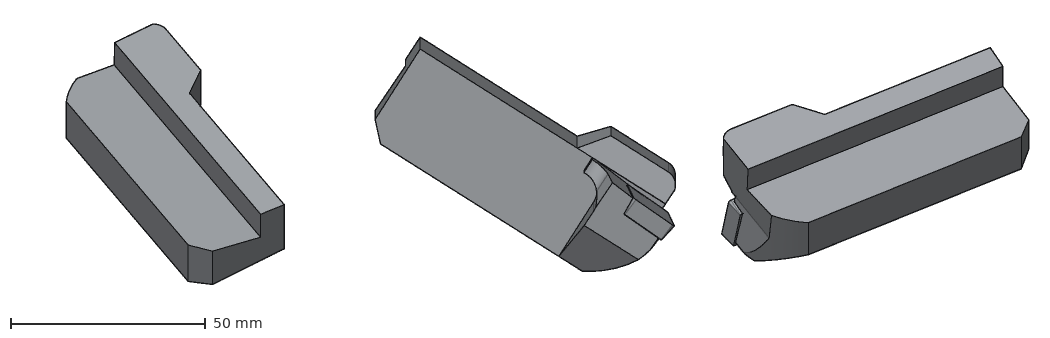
import cadquery as cq
import math

LENGTH = 78.5
DEPTH = 32.8
HEIGHT = 30.5
MARGIN = 7.85

RAIL_FRONT = 18.9
SHANK_BACK = 26.0
SHELF_FRONT_Z = 25.0
SHELF_INNER_Z = 22.4
UNDERSIDE_FRONT_Z = 12.0
UNDERSIDE_BACK_Z = 14.75
END_CHAMFER = 4.55

OVERHANG_EDGE_Z = 18.1
OVERHANG_END_X = 30.5
OVERHANG_START_X = 24.65
BACK_ROUND_RADIUS = 3.9
BACK_ROUND_CENTER_X = 7.1

HEAD_END_X = 19.5
HEAD_TOP_Z = 14.4
HEAD_TOE_Y = 12.1
HEAD_TOE_Z = 1.7
HEAD_BOTTOM_Z = 1.1
WEB_FRONT = 22.0
WEB_ROOT_X = 21.8
WEB_ROOT_Z = 11.9
WEB_FILLET = 5.1
PLAN_FILLET = 5.5

WALL_START_X = 3.1
WALL_START_Y = 24.1
WALL_END_X = 24.3

FACE_TOP_X = 4.6
FACE_CREASE_X = 4.1
FACE_BOTTOM_X = 1.5
FACE_BEVEL = 0.55
FACE_ANGLE = 4.5

NOSE_START = (1.6, 16.9)
NOSE_MIDDLE = (4.95, 7.85)
NOSE_END = (12.25, 0.0)

INSERT_SIDE = 12.9
INSERT_THICKNESS = 5.0
INSERT_RAKE_Y = 24.7
INSERT_ANGLE = 80.0
INSERT_CORNER_RADIUS = 0.7
INSERT_CLEARANCE = 7.0
INSERT_TURN = 2.5


def section_along_x(points, start, end):
    """Extrude a (Y, Z) polygon from X = start to X = end."""
    return cq.Workplane("YZ", origin=(start, 0, 0)).polyline(points).close().extrude(end - start)


def make_shank():
    """Long bar with a raised rail, and its overhanging head."""
    section = [
        (0, UNDERSIDE_FRONT_Z),
        (0, SHELF_FRONT_Z),
        (RAIL_FRONT, SHELF_INNER_Z),
        (RAIL_FRONT, HEIGHT),
        (DEPTH, HEIGHT),
        (DEPTH, OVERHANG_EDGE_Z),
        (SHANK_BACK, UNDERSIDE_BACK_Z),
    ]
    return section_along_x(section, 0, LENGTH)


def make_lower_head():
    """Block under the shank that carries the insert."""
    section = [
        (0, UNDERSIDE_FRONT_Z),
        (HEAD_TOE_Y, HEAD_TOE_Z),
        (SHANK_BACK, HEAD_BOTTOM_Z),
        (SHANK_BACK, UNDERSIDE_BACK_Z),
    ]
    return section_along_x(section, 0, HEAD_END_X)


def make_web_side():
    """Side profile of the web: a steep flank with a fillet at its root."""
    slope = math.atan2(WEB_ROOT_Z - HEAD_BOTTOM_Z, WEB_ROOT_X - HEAD_END_X)
    tangent_length = WEB_FILLET * math.tan(slope / 2)
    slope_end = (
        WEB_ROOT_X - tangent_length * math.cos(slope),
        WEB_ROOT_Z - tangent_length * math.sin(slope),
    )
    root_end = (WEB_ROOT_X + tangent_length, WEB_ROOT_Z)
    center = (root_end[0], WEB_ROOT_Z - WEB_FILLET)
    middle_angle = math.pi / 2 + slope / 2
    middle = (
        center[0] + WEB_FILLET * math.cos(middle_angle),
        center[1] + WEB_FILLET * math.sin(middle_angle),
    )
    return (
        cq.Workplane("XZ", origin=(0, SHANK_BACK, 0))
        .moveTo(HEAD_END_X, HEAD_BOTTOM_Z)
        .lineTo(*slope_end)
        .threePointArc(middle, root_end)
        .lineTo(root_end[0], UNDERSIDE_BACK_Z)
        .lineTo(0, UNDERSIDE_BACK_Z)
        .lineTo(0, HEAD_BOTTOM_Z)
        .close()
        .extrude(SHANK_BACK - WEB_FRONT + PLAN_FILLET)
    )


def make_web_plan():
    """Plan outline of the web, with a fillet from the head's end into the web's front."""
    diagonal = PLAN_FILLET * math.sqrt(0.5)
    return (
        cq.Workplane("XY")
        .moveTo(0, WEB_FRONT - PLAN_FILLET)
        .lineTo(HEAD_END_X, WEB_FRONT - PLAN_FILLET)
        .threePointArc(
            (HEAD_END_X + PLAN_FILLET - diagonal, WEB_FRONT - PLAN_FILLET + diagonal),
            (HEAD_END_X + PLAN_FILLET, WEB_FRONT),
        )
        .lineTo(LENGTH, WEB_FRONT)
        .lineTo(LENGTH, SHANK_BACK)
        .lineTo(0, SHANK_BACK)
        .close()
        .extrude(HEIGHT)
    )


def make_web():
    """Tapered web that runs from the lower head into the underside of the shank."""
    bottom_slope = (HEAD_TOE_Z - HEAD_BOTTOM_Z) / (SHANK_BACK - HEAD_TOE_Y)
    front_bottom_z = HEAD_BOTTOM_Z + bottom_slope * SHANK_BACK
    above_bottom = section_along_x(
        [(0, front_bottom_z), (SHANK_BACK, HEAD_BOTTOM_Z), (SHANK_BACK, HEIGHT), (0, HEIGHT)], 0, LENGTH
    )
    return make_web_side().intersect(make_web_plan()).intersect(above_bottom)


def make_plan_envelope():
    """Vertical prism over the rounded, stepped plan outline."""
    back_round_start = (
        BACK_ROUND_CENTER_X - BACK_ROUND_RADIUS,
        DEPTH - BACK_ROUND_RADIUS,
    )
    diagonal = BACK_ROUND_RADIUS * math.sqrt(0.5)
    back_round_middle = (
        BACK_ROUND_CENTER_X - diagonal,
        DEPTH - BACK_ROUND_RADIUS + diagonal,
    )
    return (
        cq.Workplane("XY")
        .moveTo(*NOSE_END)
        .lineTo(LENGTH - END_CHAMFER, 0)
        .lineTo(LENGTH, END_CHAMFER)
        .lineTo(LENGTH, SHANK_BACK)
        .lineTo(OVERHANG_END_X, SHANK_BACK)
        .lineTo(OVERHANG_START_X, DEPTH)
        .lineTo(BACK_ROUND_CENTER_X, DEPTH)
        .threePointArc(back_round_middle, back_round_start)
        .lineTo(0, back_round_start[1])
        .lineTo(0, NOSE_START[1])
        .lineTo(*NOSE_START)
        .threePointArc(NOSE_MIDDLE, NOSE_END)
        .close()
        .extrude(HEIGHT)
    )


def make_end_face_cutter():
    """Everything ahead of the two-slope end face, which is turned slightly about Z."""
    return (
        cq.Workplane("XZ", origin=(0, RAIL_FRONT + DEPTH, 0))
        .moveTo(FACE_TOP_X, HEIGHT)
        .lineTo(FACE_CREASE_X, HEAD_TOP_Z)
        .lineTo(FACE_BOTTOM_X, HEAD_BOTTOM_Z + FACE_BEVEL)
        .lineTo(FACE_BOTTOM_X + FACE_BEVEL, HEAD_BOTTOM_Z)
        .lineTo(-MARGIN, HEAD_BOTTOM_Z)
        .lineTo(-MARGIN, HEIGHT)
        .close()
        .extrude(2 * DEPTH)
        .rotate((FACE_TOP_X, RAIL_FRONT, 0), (FACE_TOP_X, RAIL_FRONT, 1), FACE_ANGLE)
    )


def make_wall_cutter():
    """Clearance behind the oblique back wall of the lower head."""
    slope = (SHANK_BACK - WALL_START_Y) / (WALL_END_X - WALL_START_X)
    return (
        cq.Workplane("XY")
        .moveTo(0, WALL_START_Y - slope * WALL_START_X)
        .lineTo(WALL_END_X, SHANK_BACK)
        .lineTo(0, SHANK_BACK)
        .close()
        .extrude(HEAD_TOP_Z)
    )


def insert_outline():
    """Rounded rhombus on the rake plane."""
    angle = math.radians(INSERT_ANGLE)
    rise = INSERT_SIDE * math.sin(angle)
    lean = INSERT_SIDE * math.cos(angle)
    start = INSERT_CORNER_RADIUS * (1 - 1 / math.tan(angle / 2))
    end = start + INSERT_SIDE
    corners = [(start, 0), (end, 0), (end + lean, rise), (start + lean, rise)]
    rhombus = cq.Sketch().polygon(corners + corners[:1]).vertices().fillet(INSERT_CORNER_RADIUS)
    return cq.Workplane("XZ", origin=(0, INSERT_RAKE_Y, 0)).placeSketch(rhombus)


def turn_insert(shape):
    """Turn a shape about the vertical line through the insert's leading corner."""
    return shape.rotate((0, INSERT_RAKE_Y, 0), (0, INSERT_RAKE_Y, 1), INSERT_TURN)


def make_insert():
    """Rhombic cutting insert that tapers toward its seat."""
    return turn_insert(insert_outline().extrude(INSERT_THICKNESS, taper=INSERT_CLEARANCE))


def make_holder(insert):
    """Holder with a seat for the insert, open behind the rake face."""
    seat_opening = turn_insert(insert_outline().extrude(INSERT_RAKE_Y - SHANK_BACK))
    return (
        make_shank()
        .union(make_lower_head())
        .union(make_web())
        .intersect(make_plan_envelope())
        .cut(make_end_face_cutter())
        .cut(make_wall_cutter())
        .cut(seat_opening)
        .cut(insert)
    )


insert = make_insert()
holder = make_holder(insert)
result = cq.Compound.makeCompound([holder.val(), insert.val()])